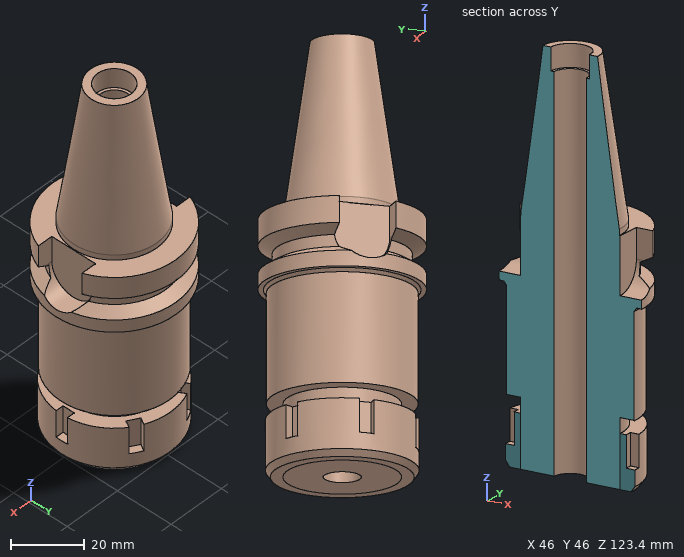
import cadquery as cq

total_height = 123.4
nut_height = 16.3
body_bottom = 20.7
relief_bottom = 52.2
flange_bottom = 53.2
groove_bottom = 59.8
groove_top = 63.3
flange_top = 73.2
taper_bottom = 75.0

taper_top_radius = 8.9
taper_bottom_radius = 15.9
flange_diameter = 46.0
flange_radius = flange_diameter / 2
groove_radius = 19.1
relief_radius = 21.5
body_radius = 20.7
neck_radius = 16.2
groove_side_height = 2.2

counterbore_radius = 6.2
counterbore_depth = 6.9
bore_radius = 5.2

drive_slot_width = 16.3
drive_slot_floor = 16.2
drive_slot_bottom = 55.9

nut_radius = 21.0
nut_chamfer_radius = 19.6
nut_chamfer_height = 1.9
wrench_slot_count = 6
wrench_slot_width = 4.2
wrench_slot_floor = 18.1
wrench_slot_bottom = 6.7


def revolve_about_z(half_section):
    """Full turn about Z of a closed outline of (radius, height) points."""
    return cq.Workplane("YZ").polyline(half_section).close().revolve(360, (0, 0), (0, 1))


def drive_slot(side):
    """Round-bottomed slot cutter for the flange, on the +X (side = 1) or -X (side = -1) side."""
    slot_radius = drive_slot_width / 2
    slot_depth = flange_radius - drive_slot_floor
    arc_centre = drive_slot_bottom + slot_radius
    return (
        cq.Workplane("YZ", origin=(side * drive_slot_floor, 0, 0))
        .moveTo(-slot_radius, flange_top)
        .lineTo(-slot_radius, arc_centre)
        .threePointArc((0, drive_slot_bottom), (slot_radius, arc_centre))
        .lineTo(slot_radius, flange_top)
        .close()
        .extrude(side * slot_depth)
    )


def make_holder():
    """Taper shank, grooved flange, body and neck, bored through along Z."""
    half_section = [
        (bore_radius, 0),
        (neck_radius, 0),
        (neck_radius, body_bottom),
        (body_radius, body_bottom),
        (body_radius, relief_bottom),
        (relief_radius, flange_bottom),
        (flange_radius, flange_bottom),
        (flange_radius, groove_bottom - groove_side_height),
        (groove_radius, groove_bottom),
        (groove_radius, groove_top),
        (flange_radius, groove_top + groove_side_height),
        (flange_radius, flange_top),
        (taper_bottom_radius, flange_top),
        (taper_bottom_radius, taper_bottom),
        (taper_top_radius, total_height),
        (counterbore_radius, total_height),
        (counterbore_radius, total_height - counterbore_depth),
        (bore_radius, total_height - counterbore_depth),
    ]
    holder = revolve_about_z(half_section)
    for side in (-1, 1):
        holder = holder.cut(drive_slot(side))
    return holder


def make_nut():
    """Ring around the neck, chamfered below, with wrench slots open at the top."""
    half_section = [
        (neck_radius, 0),
        (nut_chamfer_radius, 0),
        (nut_radius, nut_chamfer_height),
        (nut_radius, nut_height),
        (neck_radius, nut_height),
    ]
    nut = revolve_about_z(half_section)
    slot = (
        cq.Workplane("XY", origin=(wrench_slot_floor, 0, wrench_slot_bottom))
        .box(
            nut_radius - wrench_slot_floor,
            wrench_slot_width,
            nut_height - wrench_slot_bottom,
            centered=(False, True, False),
        )
    )
    slot_spacing = 360 / wrench_slot_count
    for index in range(wrench_slot_count):
        nut = nut.cut(slot.rotate((0, 0, 0), (0, 0, 1), index * slot_spacing))
    return nut


holder = make_holder()
nut = make_nut()

result = cq.Compound.makeCompound([holder.val(), nut.val()])